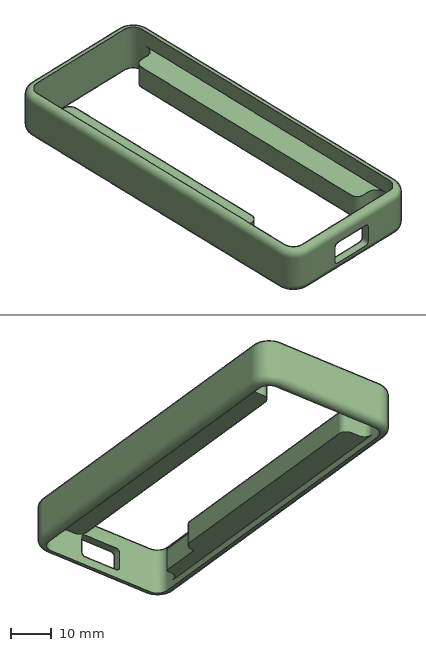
import cadquery as cq

length = 95.4
width = 40.4
height = 12.6
wall = 2.1
corner_radius = 5.15
rim_radius = 1.9

shelf_bottom = 1.9
shelf_top = 8.1
shelf_depth = 6.7
shelf_corner_radius = 2.2
back_half_length = 38.3
back_root_radius = 2.7
front_half_length = 38.1
front_root_radius = 2.2

step_x = 26.7
step_depth = 3.0
step_radius = 0.6

port_width = 11.45
port_height = 6.3
port_center_z = 5.5
port_radius = 1.0

inner_half_width = width / 2 - wall
shelf_free_y = inner_half_width - shelf_depth
buried_y = inner_half_width + wall / 4


def make_frame():
    """Rounded rectangular ring with its outer rims rounded over."""
    outer = cq.Workplane("XY").box(length, width, height, centered=(True, True, False))
    outer = outer.edges("|Z").fillet(corner_radius)
    outer = outer.faces("<Z or >Z").edges().fillet(rim_radius)
    opening = cq.Workplane("XY").box(
        length - 2 * wall, width - 2 * wall, height, centered=(True, True, False)
    )
    return outer.cut(opening.edges("|Z").fillet(corner_radius - wall))


def fillet_at(body, x, y, radius):
    """Round the vertical edge that stands at (x, y)."""
    tolerance = 0.01
    selector = cq.selectors.BoxSelector(
        (x - tolerance, y - tolerance, 0), (x + tolerance, y + tolerance, height)
    )
    return body.edges("|Z").edges(selector).fillet(radius)


def make_shelf(half_length, root_radius):
    """Shelf on the back wall, flared into the wall by an arc at both ends."""
    root_half_length = half_length + root_radius
    root_y = inner_half_width - root_radius
    return (
        cq.Workplane("XY", origin=(0, 0, shelf_bottom))
        .moveTo(-root_half_length, buried_y)
        .lineTo(root_half_length, buried_y)
        .lineTo(root_half_length, inner_half_width)
        .radiusArc((half_length, root_y), -root_radius)
        .lineTo(half_length, shelf_free_y)
        .lineTo(-half_length, shelf_free_y)
        .lineTo(-half_length, root_y)
        .radiusArc((-root_half_length, inner_half_width), -root_radius)
        .close()
        .extrude(shelf_top - shelf_bottom)
    )


def make_back_shelf():
    shelf = make_shelf(back_half_length, back_root_radius)
    for side in (-1, 1):
        shelf = fillet_at(shelf, side * back_half_length, shelf_free_y, shelf_corner_radius)
    return shelf


def make_front_shelf():
    """Shelf with its +X end stepped back, mirrored onto the front wall."""
    shelf = make_shelf(front_half_length, front_root_radius)
    step_y = shelf_free_y + step_depth
    notch = cq.Workplane("XY").box(length, step_depth, height, centered=False)
    shelf = shelf.cut(notch.translate((step_x, shelf_free_y, 0)))
    rounded_corners = (
        (-front_half_length, shelf_free_y, shelf_corner_radius),
        (step_x, shelf_free_y, shelf_corner_radius),
        (step_x, step_y, step_radius),
        (front_half_length, step_y, step_radius),
    )
    for x, y, radius in rounded_corners:
        shelf = fillet_at(shelf, x, y, radius)
    return shelf.mirror("XZ")


def make_port():
    port = cq.Workplane("XY").box(2 * wall, port_width, port_height)
    port = port.edges("|X").fillet(port_radius)
    return port.translate((length / 2 - wall / 2, 0, port_center_z))


result = make_frame().union(make_back_shelf()).union(make_front_shelf()).cut(make_port())